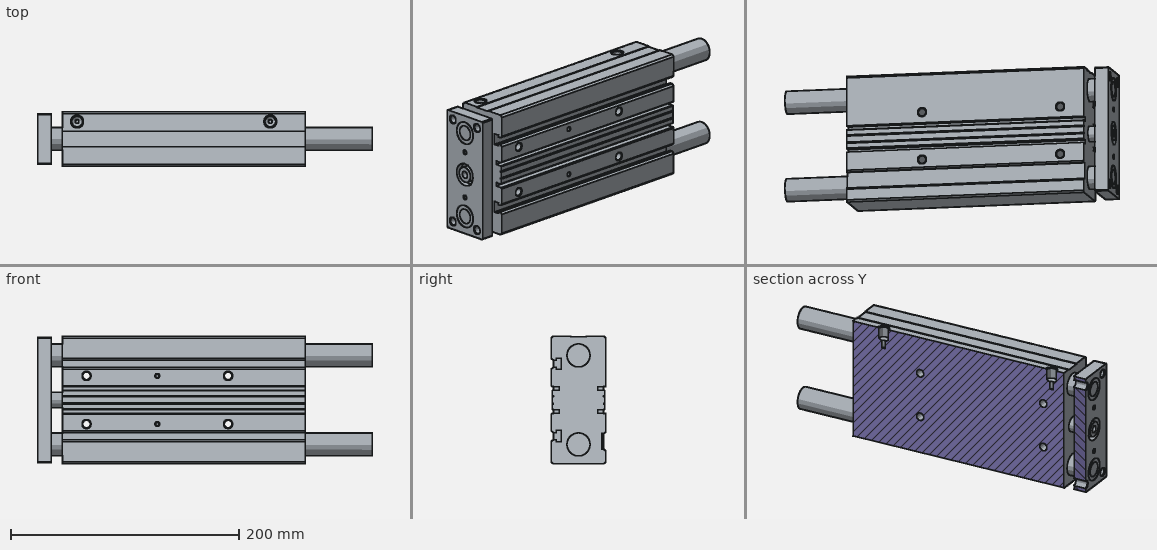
import cadquery as cq

total_length = 293.0
housing_start = 21.7
housing_end = 234.5
housing_length = housing_end - housing_start
housing_depth = 48.0
housing_height = 112.0
half_depth = housing_depth / 2
half_height = housing_height / 2
housing_chamfer = 1.8

plate_thickness = 12.0
plate_depth = 44.0
plate_height = 110.2
plate_chamfer = 1.0

guide_offset = 39.0
guide_diameter = 20.2
guide_spigot_diameter = 13.2
guide_recess_depth = 0.3
piston_diameter = 13.8
piston_end = 196.3
piston_thread_diameter = 6.2
piston_thread_depth = 8.8
piston_recess_diameter = 20.2
piston_recess_depth = 6.0

t_slot_offset = 31.5
t_slot_throat = 6.2
t_slot_width = 10.0
t_slot_lip = 4.5
t_slot_depth = 9.0
t_slot_chamfer = 1.8

wide_groove_top = -29.3
wide_groove_bottom = -43.5
wide_groove_depth = 3.8
wide_groove_chamfer = 1.5

band_half_height = 11.7
band_chamfer = 1.0
rib_half_height = 8.5
rib_setback = 1.0
rib_chamfer = 0.5
rib_slot_depth = 7.0
rib_groove_offset = 3.2
rib_groove_width = 1.2
rib_groove_depth = 1.2

channel_width = 13.8
channel_depth = 0.5

screw_diameter = 6.7
screw_mouth_diameter = 8.0
small_diameter = 3.2
small_mouth_diameter = 4.0
small_depth = 6.0
drill_point_ratio = 0.6
hole_row_offset = 21.0
mount_start = 42.8
mount_pitch = 124.0
plate_screw_spacing_y = 30.0
plate_screw_spacing_z = 95.5
port_diameter = 9.5
port_mouth_diameter = 11.0
port_depth = 10.3
port_passage_diameter = 3.2
port_passage_depth = 19.0
port_y = 15.2
port_positions_x = (34.5, 203.5)


def cylinder_x(diameter, start, end, z=0.0):
    """Cylinder along X between two X positions."""
    return cq.Workplane(cq.Solid.makeCylinder(
        diameter / 2, end - start, cq.Vector(start, 0, z), cq.Vector(1, 0, 0)))


def chamfered_hole(diameter, mouth_diameter, depth, mouth, direction):
    """Tool for a round hole whose mouth is widened by a 45 degree chamfer."""
    chamfer = (mouth_diameter - diameter) / 2
    bore = cq.Solid.makeCylinder(diameter / 2, depth, cq.Vector(*mouth), cq.Vector(*direction))
    flare = cq.Solid.makeCone(
        mouth_diameter / 2, diameter / 2, chamfer, cq.Vector(*mouth), cq.Vector(*direction))
    return cq.Workplane(bore).union(cq.Workplane(flare))


def blind_hole(diameter, mouth_diameter, depth, mouth, direction, end_diameter=0.0):
    """Tool for a chamfered blind hole with a conical bottom narrowing to end_diameter."""
    axis = cq.Vector(*direction)
    cone_start = cq.Vector(*mouth) + axis * depth
    cone_length = (diameter - end_diameter) / 2 * drill_point_ratio
    point = cq.Solid.makeCone(diameter / 2, end_diameter / 2, cone_length, cone_start, axis)
    return chamfered_hole(diameter, mouth_diameter, depth, mouth, direction).union(cq.Workplane(point))


def housing_prism(points):
    """Prism over the full housing length from (Y, Z) points."""
    return cq.Workplane("YZ", origin=(housing_start, 0, 0)).polyline(points).close().extrude(housing_length)


def t_slot(offset):
    """T-slot in the -Y face with chamfered lips."""
    face = -half_depth
    half_throat = t_slot_throat / 2
    half_width = t_slot_width / 2
    lower_half = [
        (face, -half_throat - t_slot_chamfer),
        (face + t_slot_chamfer, -half_throat),
        (face + t_slot_lip, -half_throat),
        (face + t_slot_lip, -half_width),
        (face + t_slot_depth, -half_width),
    ]
    upper_half = [(y, -z) for y, z in reversed(lower_half)]
    return housing_prism([(y, z + offset) for y, z in lower_half + upper_half])


def wide_groove():
    """Groove in the +Y face with chamfered lips."""
    floor = half_depth - wide_groove_depth
    lip = half_depth - wide_groove_chamfer
    return housing_prism([
        (half_depth, wide_groove_top + wide_groove_chamfer),
        (lip, wide_groove_top),
        (floor, wide_groove_top),
        (floor, wide_groove_bottom),
        (lip, wide_groove_bottom),
        (half_depth, wide_groove_bottom - wide_groove_chamfer),
    ])


def ribbed_band():
    """Material removed from the -Y face to leave three low ribs between two slots."""
    face = -half_depth
    rib_top = face + rib_setback
    slot_floor = face + rib_slot_depth
    lower_half = [
        (face, -band_half_height),
        (slot_floor, -band_half_height),
        (slot_floor, -rib_half_height),
        (rib_top + rib_chamfer, -rib_half_height),
        (rib_top, -rib_half_height + rib_chamfer),
        (rib_top, -rib_groove_offset - rib_groove_width / 2),
        (rib_top + rib_groove_depth, -rib_groove_offset),
        (rib_top, -rib_groove_offset + rib_groove_width / 2),
    ]
    upper_half = [(y, -z) for y, z in reversed(lower_half)]
    return housing_prism(lower_half + upper_half)


def band_lips():
    """Chamfered lips of the ribbed band, on the -Y face only."""
    face = -half_depth
    outer = band_half_height + band_chamfer
    return housing_prism([
        (face, -outer),
        (face + band_chamfer, -band_half_height),
        (face + band_chamfer, band_half_height),
        (face, outer),
    ])


def make_housing():
    body = (
        cq.Workplane("XY")
        .box(housing_length, housing_depth, housing_height, centered=(False, True, True))
        .translate((housing_start, 0, 0))
        .edges("|X").chamfer(housing_chamfer)
    )

    for side in (-1, 1):
        body = body.cut(t_slot(side * t_slot_offset))
    band = ribbed_band()
    body = body.cut(band).cut(band.mirror("XZ")).cut(band_lips())
    body = body.cut(wide_groove())
    half_channel = channel_width / 2
    channel_floor = half_height - channel_depth
    body = body.cut(housing_prism([
        (-half_channel, half_height),
        (-half_channel, channel_floor),
        (half_channel, channel_floor),
        (half_channel, half_height),
    ]))

    for z in (-hole_row_offset, hole_row_offset):
        for x in (mount_start, mount_start + mount_pitch):
            for side in (-1, 1):
                body = body.cut(chamfered_hole(
                    screw_diameter, screw_mouth_diameter, housing_depth,
                    (x, side * half_depth, z), (0, -side, 0)))
        small_hole_x = mount_start + mount_pitch / 2
        body = body.cut(blind_hole(
            small_diameter, small_mouth_diameter, small_depth, (small_hole_x, -half_depth, z), (0, 1, 0)))

    for x in port_positions_x:
        body = body.cut(blind_hole(
            port_diameter, port_mouth_diameter, port_depth,
            (x, port_y, half_height), (0, 0, -1), port_passage_diameter))
        body = body.cut(cq.Workplane(cq.Solid.makeCylinder(
            port_passage_diameter / 2, port_passage_depth,
            cq.Vector(x, port_y, half_height), cq.Vector(0, 0, -1))))

    for z in (-guide_offset, guide_offset):
        body = body.cut(cylinder_x(guide_diameter, housing_start, housing_end, z=z))
    return body.cut(cylinder_x(piston_diameter, 0, piston_end))


def make_plate():
    plate = (
        cq.Workplane("XY")
        .box(plate_thickness, plate_depth, plate_height, centered=(False, True, True))
        .edges("|X").chamfer(plate_chamfer)
    )
    for y in (-plate_screw_spacing_y / 2, plate_screw_spacing_y / 2):
        for z in (-plate_screw_spacing_z / 2, plate_screw_spacing_z / 2):
            plate = plate.cut(chamfered_hole(
                screw_diameter, screw_mouth_diameter, plate_thickness, (0, y, z), (1, 0, 0)))
    for z in (-hole_row_offset, hole_row_offset):
        plate = plate.cut(blind_hole(
            small_diameter, small_mouth_diameter, small_depth, (0, 0, z), (1, 0, 0)))

    for z in (-guide_offset, guide_offset):
        plate = plate.cut(cylinder_x(guide_diameter, 0, guide_recess_depth, z=z))
        plate = plate.cut(cylinder_x(guide_spigot_diameter, 0, plate_thickness, z=z))
    plate = plate.cut(cylinder_x(piston_recess_diameter, 0, piston_recess_depth))
    return plate.cut(cylinder_x(piston_diameter, 0, plate_thickness))


def make_guide_rod(z):
    """Guide rod with a spigot that ends at the floor of the shallow plate recess."""
    rod = cylinder_x(guide_diameter, plate_thickness, total_length, z=z)
    return rod.union(cylinder_x(guide_spigot_diameter, guide_recess_depth, plate_thickness, z=z))


def make_piston_rod():
    """Piston rod flush with the plate front, with a threaded hole in its end."""
    rod = cylinder_x(piston_diameter, 0, piston_end)
    return rod.cut(cylinder_x(piston_thread_diameter, 0, piston_thread_depth))


housing = make_housing()
plate = make_plate()
guide_rods = [make_guide_rod(z) for z in (-guide_offset, guide_offset)]
piston_rod = make_piston_rod()

result = cq.Compound.makeCompound([
    housing.val(),
    plate.val(),
    *[rod.val() for rod in guide_rods],
    piston_rod.val(),
])